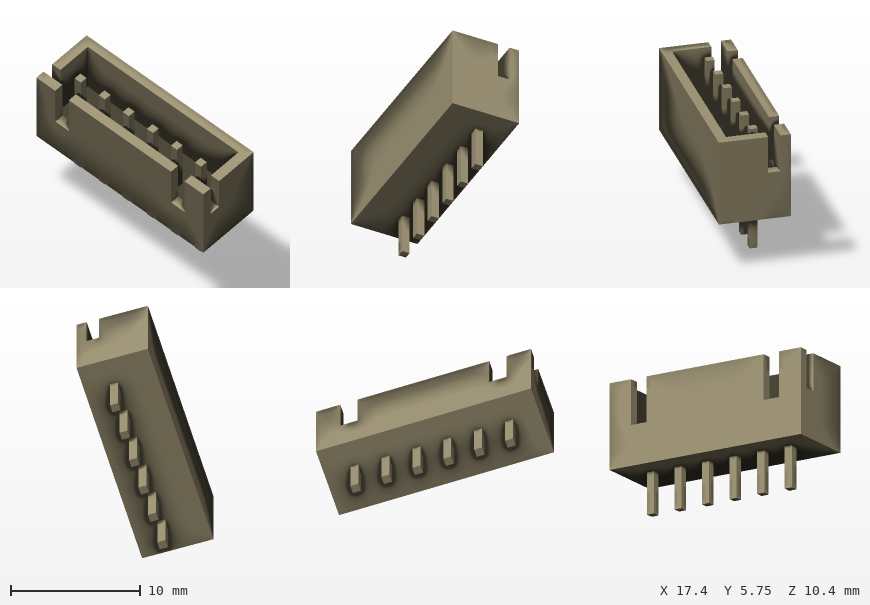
import cadquery as cq

length = 17.4
depth = 5.75
height = 7.0
front_wall = 0.82
end_wall = 0.85
back_wall = 0.8
floor_thickness = 2.25

front_slot_width = 1.41
front_slot_depth = 3.69
front_slot_offset = 1.97
side_slot_width = 1.0
side_slot_depth = 3.06

pin_count = 6
pin_pitch = 2.5
pin_size = 0.65
pin_drop = 3.41
pin_top_gap = 0.21
pin_row_y = 2.38


def box(x, y, z, x_size, y_size, z_size):
    """Box with its minimum corner at (x, y, z)."""
    return cq.Workplane("XY").box(x_size, y_size, z_size, centered=False).translate((x, y, z))


left = -length / 2
housing = box(left, 0, 0, length, depth, height)
cavity = box(
    left + end_wall, front_wall, floor_thickness,
    length - 2 * end_wall, depth - front_wall - back_wall, height - floor_thickness,
)
result = housing.cut(cavity)

front_slot_left = left + front_slot_offset
for slot_x in (front_slot_left, -front_slot_left - front_slot_width):
    slot = box(slot_x, 0, height - front_slot_depth, front_slot_width, front_wall, front_slot_depth)
    result = result.cut(slot)

for slot_x in (left, -left - end_wall):
    slot = box(slot_x, front_wall, height - side_slot_depth, end_wall, side_slot_width, side_slot_depth)
    result = result.cut(slot)

pin_length = pin_drop + height - pin_top_gap
first_pin_x = -(pin_count - 1) * pin_pitch / 2
for index in range(pin_count):
    pin_x = first_pin_x + index * pin_pitch
    pin = box(
        pin_x - pin_size / 2, pin_row_y - pin_size / 2, -pin_drop,
        pin_size, pin_size, pin_length,
    )
    result = result.union(pin)